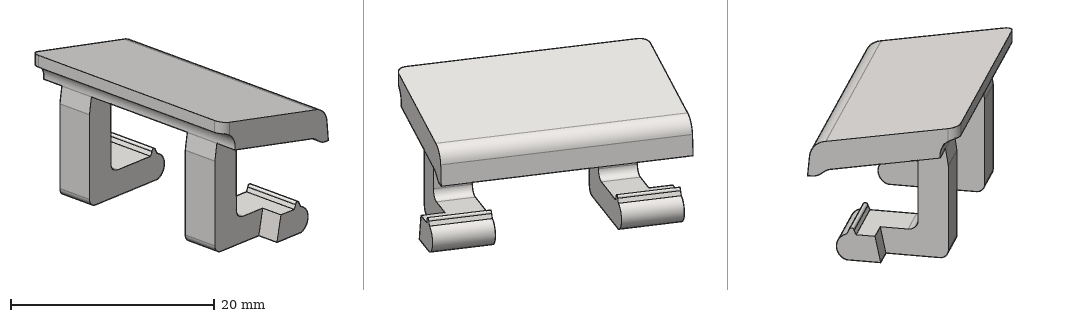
import cadquery as cq

length = 25.92
depth = 15.2
height = 15.15

plate_slope = 0.2
lip_thickness = 1.27
lip_corner_radius = 1.04
neck_back_y = 1.85
neck_middle_y = 1.05
neck_middle_z = 13.53
neck_bottom_z = 11.72
top_end_y = 13.35
nose_start_y = 14.98
nose_start_z = 10.83
nose_bulge_y = 14.46
nose_bulge_z = 11.9
underside_end_y = 12.88
tail_flat = 0.41
tail_z = 8.63

leg_inset = 2.45
leg_width = 4.02
leg_front_y = 1.55
leg_back_y = 4.61
leg_taper_z = 9.9
leg_corner_radius = 0.85
inner_radius = 0.98
leg_overlap = 0.52

foot_thickness = 2.77
foot_split_bottom_y = 7.83
foot_split_top_y = 8.4
hook_width = leg_inset + leg_width
hook_end_y = 12.29
hook_curve_y = 11.25
bead_front_y = 10.3
bead_peak_y = 10.75
bead_height = 0.7
bead_tip_radius = 0.25


def underside_z(y):
    """Height of the plate's sloping lower face."""
    return neck_bottom_z - plate_slope * (y - neck_back_y)


def extrude_along_x(profile, start_x, width):
    """Solid with the given YZ profile, starting at start_x."""
    return profile.extrude(width).translate((start_x, 0, 0))


def make_plate():
    lip_bottom_z = height - lip_thickness
    profile = (
        cq.Workplane("YZ")
        .moveTo(0, height)
        .lineTo(top_end_y, height - plate_slope * top_end_y)
        .threePointArc((nose_bulge_y, nose_bulge_z), (nose_start_y, nose_start_z))
        .lineTo(depth, tail_z)
        .lineTo(depth - tail_flat, tail_z)
        .spline(
            [(underside_end_y, underside_z(underside_end_y))],
            tangents=[(-1, 0), (-1, plate_slope)],
            includeCurrent=True,
        )
        .lineTo(neck_back_y, neck_bottom_z)
        .threePointArc((neck_middle_y, neck_middle_z), (0, lip_bottom_z))
        .close()
    )
    plate = extrude_along_x(profile, 0, length)
    return plate.edges("|Z and <Y").fillet(lip_corner_radius)


def make_leg(start_x):
    top_back_y = leg_back_y + inner_radius
    profile = (
        cq.Workplane("YZ")
        .moveTo(leg_front_y, leg_corner_radius)
        .lineTo(leg_front_y, leg_taper_z)
        .lineTo(neck_back_y, neck_bottom_z)
        .lineTo(top_back_y, underside_z(top_back_y) + leg_overlap)
        .lineTo(top_back_y, underside_z(top_back_y))
        .radiusArc((leg_back_y, underside_z(top_back_y) - inner_radius), -inner_radius)
        .lineTo(leg_back_y, foot_thickness + inner_radius)
        .radiusArc((leg_back_y + inner_radius, foot_thickness), -inner_radius)
        .lineTo(foot_split_top_y, foot_thickness)
        .lineTo(foot_split_bottom_y, 0)
        .lineTo(leg_front_y + leg_corner_radius, 0)
        .radiusArc((leg_front_y, leg_corner_radius), leg_corner_radius)
        .close()
    )
    return extrude_along_x(profile, start_x, leg_width)


def make_hook(start_x):
    bead_tip_z = foot_thickness + bead_height
    bead_side_z = bead_tip_z - bead_tip_radius
    profile = (
        cq.Workplane("YZ")
        .moveTo(foot_split_bottom_y, 0)
        .lineTo(foot_split_top_y, foot_thickness)
        .lineTo(bead_front_y, foot_thickness)
        .lineTo(bead_peak_y - bead_tip_radius, bead_side_z)
        .threePointArc((bead_peak_y, bead_tip_z), (bead_peak_y + bead_tip_radius, bead_side_z))
        .lineTo(hook_curve_y, foot_thickness)
        .threePointArc((hook_end_y, foot_thickness / 2), (hook_curve_y, 0))
        .close()
    )
    return extrude_along_x(profile, start_x, hook_width)


result = make_plate()
far_side_x = length - hook_width
for leg_x, hook_x in ((leg_inset, 0), (far_side_x, far_side_x)):
    result = result.union(make_leg(leg_x)).union(make_hook(hook_x))